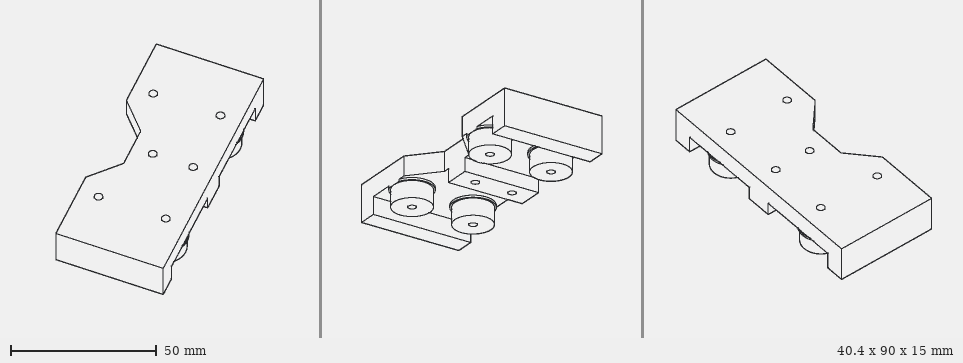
import cadquery as cq

length = 90.0
width = 40.0
height = 14.5
plate_thickness = 7.65

end_wall = 7.6
rib_width = 10.35
rib_bottom = 13.0

notch_depth = 9.7
notch_mouth = 36.5
notch_floor = 15.3

boss_diameter = 14.8
collar_diameter = 16.0
collar_thickness = 0.8
boss_bottom = 15.0

hole_diameter = 3.0
left_hole_x = boss_diameter / 2
right_hole_x = 32.4
rib_hole_x = 17.4
hole_row_y = 24.5

boss_points = [(x, y) for x in (left_hole_x, right_hole_x) for y in (-hole_row_y, hole_row_y)]
hole_points = boss_points + [(rib_hole_x, 0), (right_hole_x, 0)]


def box_below_top(x_start, x_end, y_center, y_size, depth):
    """Box hanging from the top plane down to the given depth."""
    x_size = x_end - x_start
    box = cq.Workplane("XY").box(x_size, y_size, depth, centered=(False, True, False))
    return box.translate((x_start, y_center, -depth))


def cylinders(points, diameter, top, bottom):
    """Vertical cylinders between two depths below the top plane."""
    plane = cq.Workplane("XY").workplane(offset=-bottom)
    return plane.pushPoints(points).circle(diameter / 2).extrude(bottom - top)


plate = box_below_top(0, width, 0, length, plate_thickness)
notch = (
    cq.Workplane("XY")
    .polyline([
        (0, -notch_mouth / 2),
        (notch_depth, -notch_floor / 2),
        (notch_depth, notch_floor / 2),
        (0, notch_mouth / 2),
    ])
    .close()
    .extrude(-plate_thickness)
)
result = plate.cut(notch)

for side in (-1, 1):
    wall_y = side * (length - end_wall) / 2
    result = result.union(box_below_top(0, width, wall_y, end_wall, height))
result = result.union(box_below_top(notch_depth, width, 0, rib_width, rib_bottom))

collar_bottom = plate_thickness + collar_thickness
collars = cylinders(boss_points, collar_diameter, plate_thickness, collar_bottom)
trim = box_below_top(0, width + collar_diameter, 0, length, boss_bottom)
result = result.union(collars.intersect(trim))
result = result.union(cylinders(boss_points, boss_diameter, plate_thickness, boss_bottom))

result = result.cut(cylinders(hole_points, hole_diameter, 0, boss_bottom))